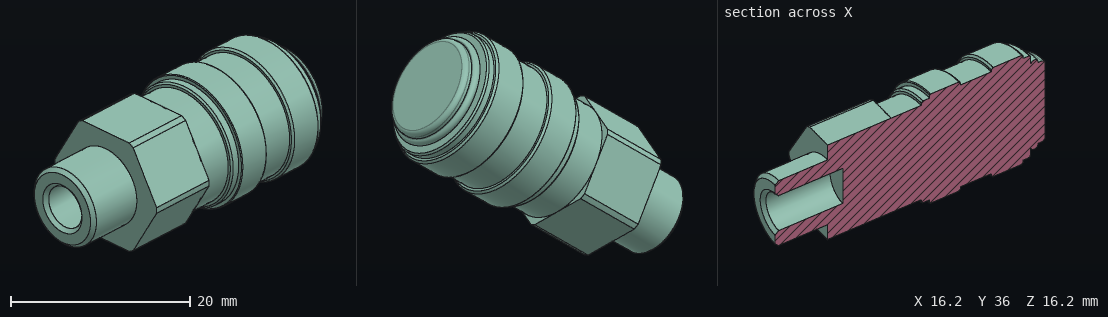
import cadquery as cq

LENGTH = 36.0
STUB_LENGTH = 7.0
HEX_END = 15.45
SLEEVE_START = 19.45
FRONT_COLLAR_START = 20.55
FRONT_COLLAR_END = 24.7
REAR_COLLAR_START = 28.75
REAR_COLLAR_END = 33.05
SLEEVE_END = 34.02
RING_END = 35.03

STUB_RADIUS = 4.82
HEX_CORNER_RADIUS = 7.9
SLEEVE_RADIUS = 7.55
COLLAR_RADIUS = 8.1
RING_RADIUS = 6.62
LIP_RADIUS = 6.0
BORE_RADIUS = 2.55

BORE_DEPTH = 9.0
HEX_ACROSS_FLATS = 14.0
NECK_RADIUS = HEX_ACROSS_FLATS / 2
HEX_TURN = 30.0

STUB_CHAMFER = 0.45
BORE_CHAMFER = 0.45
SLEEVE_CHAMFER = 0.2
COLLAR_CHAMFER = 0.25
COLLAR_SMALL_CHAMFER = 0.1
LIP_FILLET = 0.58


def section_plane(start):
    """Plane normal to the part axis, with its normal along +Y."""
    return cq.Plane(origin=(0, start, 0), xDir=(1, 0, 0), normal=(0, 1, 0))


def cylinder(start, end, radius):
    return cq.Workplane(section_plane(start)).circle(radius).extrude(end - start)


def collar(start, end, start_chamfer):
    band = cylinder(start, end, COLLAR_RADIUS)
    return band.faces("<Y").chamfer(start_chamfer).faces(">Y").chamfer(COLLAR_CHAMFER)


def hexagon():
    """Wrench hexagon with flats at +Z and -Z and its corners turned round."""
    prism = (
        cq.Workplane(section_plane(STUB_LENGTH))
        .polygon(6, HEX_ACROSS_FLATS, circumscribed=True)
        .extrude(HEX_END - STUB_LENGTH)
        .rotate((0, 0, 0), (0, 1, 0), HEX_TURN)
    )
    return prism.intersect(cylinder(STUB_LENGTH, HEX_END, HEX_CORNER_RADIUS))


def rounded_ring():
    """Disc whose rim is a half-round bead."""
    bead_radius = (RING_END - SLEEVE_END) / 2
    core_radius = RING_RADIUS - bead_radius
    return (
        cq.Workplane("XY")
        .moveTo(0, SLEEVE_END)
        .lineTo(core_radius, SLEEVE_END)
        .threePointArc((RING_RADIUS, SLEEVE_END + bead_radius), (core_radius, RING_END))
        .lineTo(0, RING_END)
        .close()
        .revolve(360, (0, 0, 0), (0, 1, 0))
    )


def bore():
    """Blind hole in the stub with a chamfered mouth."""
    mouth_radius = BORE_RADIUS + BORE_CHAMFER
    return (
        cq.Workplane("XY")
        .moveTo(0, 0)
        .lineTo(mouth_radius, 0)
        .lineTo(BORE_RADIUS, BORE_CHAMFER)
        .lineTo(BORE_RADIUS, BORE_DEPTH)
        .lineTo(0, BORE_DEPTH)
        .close()
        .revolve(360, (0, 0, 0), (0, 1, 0))
    )


stub = cylinder(0, STUB_LENGTH, STUB_RADIUS).faces("<Y").chamfer(STUB_CHAMFER)
neck = cylinder(HEX_END, SLEEVE_START, NECK_RADIUS)
sleeve = cylinder(SLEEVE_START, SLEEVE_END, SLEEVE_RADIUS).edges().chamfer(SLEEVE_CHAMFER)
front_collar = collar(FRONT_COLLAR_START, FRONT_COLLAR_END, COLLAR_SMALL_CHAMFER)
rear_collar = collar(REAR_COLLAR_START, REAR_COLLAR_END, COLLAR_CHAMFER)
ring = rounded_ring()
lip = cylinder(RING_END, LENGTH, LIP_RADIUS).faces(">Y").edges().fillet(LIP_FILLET)

result = stub
for section in (hexagon(), neck, sleeve, front_collar, rear_collar, ring, lip):
    result = result.union(section)
result = result.cut(bore())